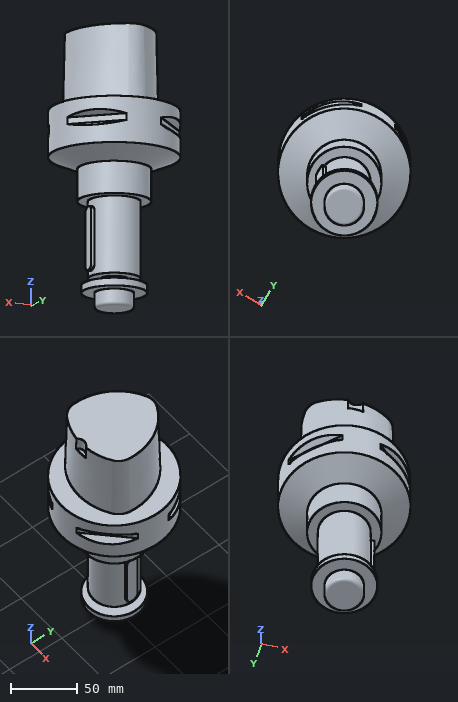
import cadquery as cq
import math

total_height = 213.5
taper_length = 60.0
flange_top = total_height - taper_length
flange_bottom = 117.6
collar_top = 108.5
arbor_top = 83.5
arbor_bottom = 23.7
washer_top = 18.5
washer_bottom = 12.5

flange_diameter = 100.0
collar_diameter = 56.0
arbor_diameter = 40.0
neck_diameter = 20.0
washer_diameter = 50.0
screw_head_diameter = 29.9
screw_head_edge_radius = 2.3

lobe_radius = 16.0
lobe_center_distance = 22.8
flank_radius = 51.7
taper_rate = 1 / 40
lobe_directions = (90, 210, 330)

notch_radius = 7.0
notch_axis_y = -35.7
notch_depth = 11.3

groove_center_z = 137.6
groove_floor_distance = 44.2
groove_floor_height = 5.1
groove_mouth_height = 12.0
groove_directions = (45, 135, 225, 315)

key_width = 10.0
key_length = 50.0
key_center_z = 52.7
key_outer_x = 22.2


def polar(distance, angle):
    """Point at a distance from the origin in a direction given in degrees."""
    return (distance * math.cos(math.radians(angle)), distance * math.sin(math.radians(angle)))


def make_turned_body():
    """Revolved flange, collar, arbor, washer and screw head."""
    steps = [
        (screw_head_diameter, 0, washer_bottom),
        (washer_diameter, washer_bottom, washer_top),
        (neck_diameter, washer_top, arbor_bottom),
        (arbor_diameter, arbor_bottom, arbor_top),
        (collar_diameter, arbor_top, collar_top),
        (flange_diameter, flange_bottom, flange_top),
    ]
    outline = [(0, 0)]
    for diameter, bottom, top in steps:
        outline += [(diameter / 2, bottom), (diameter / 2, top)]
    outline.append((0, flange_top))
    body = cq.Workplane("XZ").polyline(outline).close().revolve(360, (0, 0), (0, 1))
    return body.faces("<Z").edges().fillet(screw_head_edge_radius)


def make_shank():
    """Tapered three-lobed shank standing on the flange."""
    half_spacing = lobe_center_distance * math.sin(math.radians(60))
    flank_half_angle = math.degrees(math.asin(half_spacing / (flank_radius - lobe_radius)))
    lobe_half_angle = 60 - flank_half_angle
    flank_center_distance = (
        (flank_radius - lobe_radius) * math.cos(math.radians(flank_half_angle))
        - lobe_center_distance * math.cos(math.radians(60))
    )
    flank_middle_distance = flank_radius - flank_center_distance

    def joint(direction, side):
        center = polar(lobe_center_distance, direction)
        offset = polar(lobe_radius, direction + side * lobe_half_angle)
        return (center[0] + offset[0], center[1] + offset[1])

    profile = cq.Workplane("XY").workplane(offset=flange_top)
    profile = profile.moveTo(*joint(lobe_directions[0], -1))
    for direction in lobe_directions:
        lobe_tip = polar(lobe_center_distance + lobe_radius, direction)
        profile = profile.threePointArc(lobe_tip, joint(direction, 1))
        flank_middle = polar(flank_middle_distance, direction + 60)
        profile = profile.threePointArc(flank_middle, joint(direction + 120, -1))
    return profile.close().extrude(taper_length, taper=math.degrees(math.atan(taper_rate)))


def make_notch():
    """Vertical cylindrical cutter for the notch at the top of the shank."""
    top = cq.Workplane("XY").workplane(offset=total_height)
    return top.center(0, notch_axis_y).circle(notch_radius).extrude(-notch_depth)


def make_groove(direction):
    """Cutter with a flat floor and flared sides, crossing the rim in one direction."""
    rim = flange_diameter / 2
    floor_half = groove_floor_height / 2
    mouth_half = groove_mouth_height / 2
    section = [
        (groove_floor_distance, -floor_half),
        (rim, -mouth_half),
        (rim, mouth_half),
        (groove_floor_distance, floor_half),
    ]
    cutter = cq.Workplane("XZ").polyline(section).close().extrude(rim, both=True)
    return cutter.translate((0, 0, groove_center_z)).rotate((0, 0, 0), (0, 0, 1), direction)


def make_key():
    """Round-ended key reaching from the arbor axis out to its outer face."""
    side = cq.Workplane("YZ").center(0, key_center_z)
    return side.slot2D(key_length, key_width, 90).extrude(key_outer_x)


result = make_turned_body().union(make_shank()).union(make_key()).cut(make_notch())
for groove_direction in groove_directions:
    result = result.cut(make_groove(groove_direction))